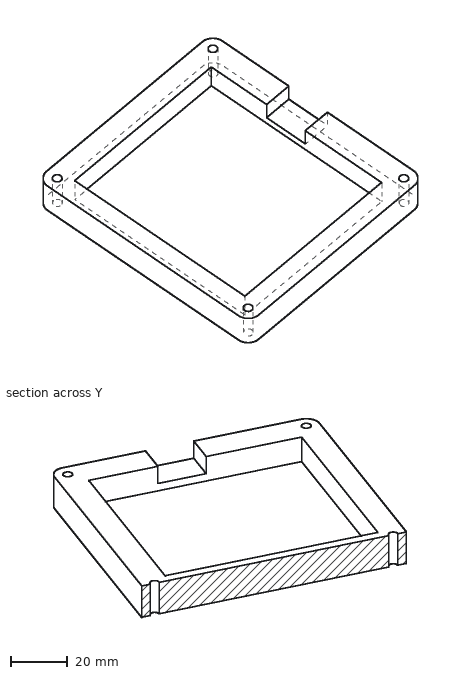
import cadquery as cq

length = 100.6
width = 91.8
height = 13.0
corner_radius = 5.0

hole_diameter = 3.4
hole_spacing_x = length - 2 * corner_radius
hole_spacing_y = width - 2 * corner_radius

pocket_length = 80.8
pocket_width = 71.8
pocket_depth = 10.0
wall_left = 10.3
wall_front = 8.3
pocket_x = -length / 2 + wall_left + pocket_length / 2
pocket_y = -width / 2 + wall_front + pocket_width / 2
wall_back = width - wall_front - pocket_width

notch_width = 18.3
notch_depth = 7.0
notch_x = -4.6
notch_y = width / 2 - wall_back / 2


def make_block():
    """Plain block with rounded vertical corners."""
    block = cq.Workplane("XY").box(length, width, height, centered=(True, True, False))
    return block.edges("|Z").fillet(corner_radius)


def top_cutter(size_x, size_y, depth, x, y):
    """Box that cuts down from the top face, centred at (x, y)."""
    plane = cq.Workplane("XY").workplane(offset=height - depth)
    return plane.center(x, y).rect(size_x, size_y).extrude(depth)


def drill_corner_holes(body):
    """Through holes at the four corners."""
    drills = (
        cq.Workplane("XY")
        .rect(hole_spacing_x, hole_spacing_y, forConstruction=True)
        .vertices()
        .circle(hole_diameter / 2)
        .extrude(height)
    )
    return body.cut(drills)


pocket = top_cutter(pocket_length, pocket_width, pocket_depth, pocket_x, pocket_y)
notch = top_cutter(notch_width, wall_back, notch_depth, notch_x, notch_y)

result = drill_corner_holes(make_block().cut(pocket).cut(notch))